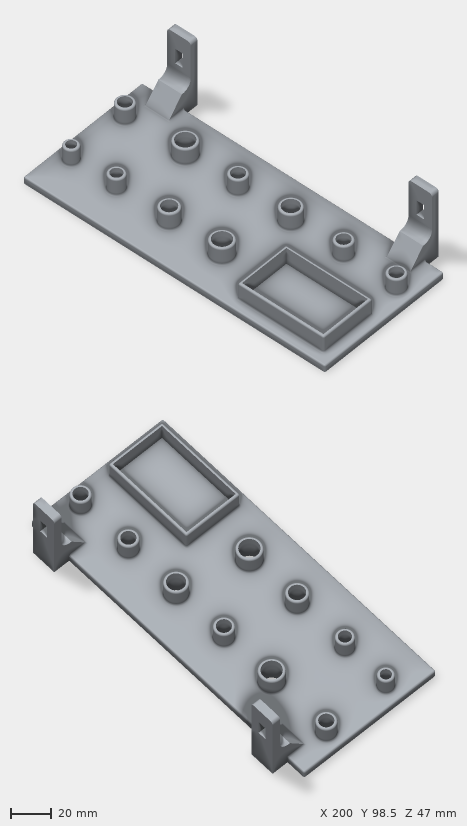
import cadquery as cq
import math

PLATE_LENGTH = 200.0
PLATE_DEPTH = 88.5
PLATE_THICKNESS = 4.5
ROUNDING = 1.0

WALL = 1.5
RIM_HEIGHT = 11.0
RIM_TOP = PLATE_THICKNESS + RIM_HEIGHT

FRONT_ROW_Y = 24.5
BACK_ROW_Y = 64.5
FRONT_ROW = [(10, 6.0), (40, 7.0), (75.0, 9.0), (110, 11.0)]
BACK_ROW = [(10, 8.0), (50, 11.0), (85.0, 8.0), (120, 10.0), (155.0, 8.0), (190, 8.0)]

TRAY_LENGTH = 57.0
TRAY_WIDTH = 36.0
TRAY_CENTRE = (165.0, FRONT_ROW_Y)

HOOK_INSET = 20.0
HOOK_CENTRES_X = (HOOK_INSET, PLATE_LENGTH - HOOK_INSET)
HOOK_WIDTH = 15.5
HOOK_HEIGHT = 47.0
HOOK_FOOT_DEPTH = 10.0
HOOK_ARM_DEPTH = 5.0
SHOULDER_HEIGHT = 16.0
BEND_RADIUS = 6.0
HOOK_CORNER_RADIUS = 2.0
SLOT_WIDTH = 5.0
SLOT_HEIGHT = 10.0
SLOT_BOTTOM = 26.0
CREST_DEPTH = 1.5
GUSSET_DEPTH = 11.5

MARGIN = 0.2

ARM_FRONT_Y = PLATE_DEPTH + HOOK_FOOT_DEPTH - HOOK_ARM_DEPTH
BEND_END_Y = ARM_FRONT_Y - BEND_RADIUS
BEND_CENTRE_Z = SHOULDER_HEIGHT + BEND_RADIUS
JOINT_HEIGHT = BEND_CENTRE_Z - math.sqrt(BEND_RADIUS**2 - (PLATE_DEPTH - BEND_END_Y) ** 2)


def extrude_across(outline, centre_x):
    """Extrude a YZ outline to the hook width, centred on centre_x."""
    return outline.extrude(HOOK_WIDTH / 2, both=True).translate((centre_x, 0, 0))


def make_gusset(centre_x):
    outline = (
        cq.Workplane("YZ")
        .moveTo(PLATE_DEPTH, 0)
        .lineTo(PLATE_DEPTH, JOINT_HEIGHT)
        .radiusArc((BEND_END_Y, SHOULDER_HEIGHT), BEND_RADIUS)
        .lineTo(PLATE_DEPTH - CREST_DEPTH, SHOULDER_HEIGHT)
        .lineTo(PLATE_DEPTH - GUSSET_DEPTH, PLATE_THICKNESS)
        .lineTo(PLATE_DEPTH - GUSSET_DEPTH, 0)
        .close()
    )
    return extrude_across(outline, centre_x)


def make_tube_body(x, y, bore):
    outer = bore + 2 * WALL
    body = cq.Workplane().center(x, y).circle(outer / 2).extrude(RIM_TOP)
    return body.faces(">Z").edges().fillet(ROUNDING)


def make_tray_body():
    return (
        cq.Workplane()
        .center(*TRAY_CENTRE)
        .rect(TRAY_LENGTH, TRAY_WIDTH)
        .extrude(RIM_TOP)
        .edges("|Z or >Z")
        .fillet(ROUNDING)
    )


def make_plate():
    tubes = [(x, FRONT_ROW_Y, bore) for x, bore in FRONT_ROW]
    tubes += [(x, BACK_ROW_Y, bore) for x, bore in BACK_ROW]

    plate = (
        cq.Workplane()
        .box(PLATE_LENGTH, PLATE_DEPTH, PLATE_THICKNESS, centered=False)
        .edges("|Z")
        .fillet(ROUNDING)
    )
    for x in HOOK_CENTRES_X:
        plate = plate.union(make_gusset(x))
    for tube in tubes:
        plate = plate.union(make_tube_body(*tube))
    plate = plate.union(make_tray_body())

    top_level = cq.selectors.BoxSelector(
        (-MARGIN, -MARGIN, PLATE_THICKNESS - MARGIN),
        (PLATE_LENGTH + MARGIN, PLATE_DEPTH + MARGIN, PLATE_THICKNESS + MARGIN),
    )
    plate = plate.edges(top_level).fillet(ROUNDING)

    for x, y, bore in tubes:
        plate = plate.cut(cq.Workplane().center(x, y).circle(bore / 2).extrude(RIM_TOP))
    tray_space = (
        cq.Workplane(origin=(*TRAY_CENTRE, PLATE_THICKNESS))
        .rect(TRAY_LENGTH - 2 * WALL, TRAY_WIDTH - 2 * WALL)
        .extrude(RIM_HEIGHT)
    )
    return plate.cut(tray_space)


def make_hook(centre_x):
    back = PLATE_DEPTH + HOOK_FOOT_DEPTH
    outline = (
        cq.Workplane("YZ")
        .moveTo(PLATE_DEPTH, 0)
        .lineTo(PLATE_DEPTH, JOINT_HEIGHT)
        .radiusArc((ARM_FRONT_Y, BEND_CENTRE_Z), -BEND_RADIUS)
        .lineTo(ARM_FRONT_Y, HOOK_HEIGHT)
        .lineTo(back, HOOK_HEIGHT)
        .lineTo(back, 0)
        .close()
    )
    hook = extrude_across(outline, centre_x)
    hook = hook.faces(">Z").edges("|Y").fillet(HOOK_CORNER_RADIUS)
    slot = (
        cq.Workplane()
        .box(SLOT_WIDTH, HOOK_FOOT_DEPTH, SLOT_HEIGHT, centered=(True, False, False))
        .translate((centre_x, PLATE_DEPTH, SLOT_BOTTOM))
    )
    return hook.cut(slot)


plate = make_plate()
hooks = [make_hook(x) for x in HOOK_CENTRES_X]
result = cq.Compound.makeCompound([plate.val(), *[hook.val() for hook in hooks]])